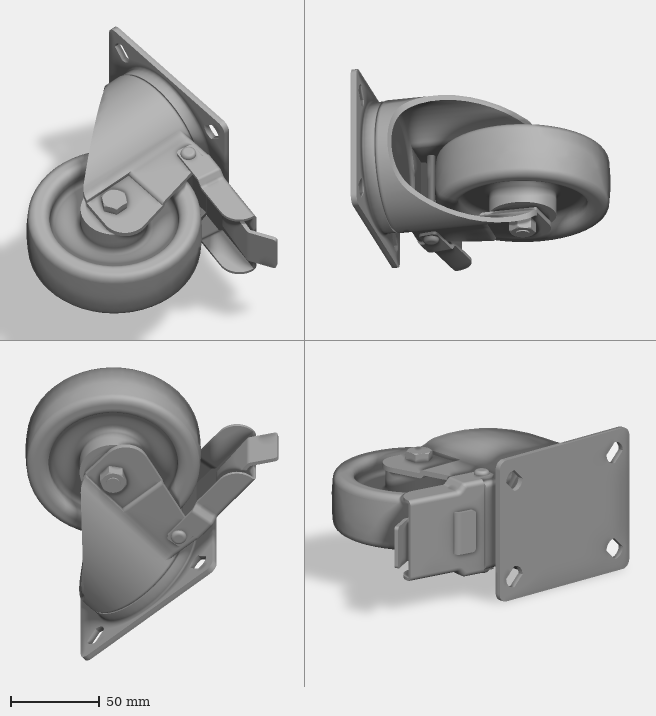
import cadquery as cq
import math


plate_length = 100.0
plate_width = 84.0
plate_thickness = 3.5
plate_corner_radius = 5.0
slot_spacing_x = 77.5
slot_spacing_z = 57.2
slot_diameter = 12.6
slot_width = 8.8
slot_angle = 45
neck_radius = 37.5
neck_flare = 1.1
neck_bottom = -10.6

fork_radius = 38.0
fork_wall = 3.0
dome_edge_radius = 2.3
hood_top = -13.2
hood_edge_radius = 3.0
upper_cheek_face = 26.0
cheek_step = 2.1
cheek_bend_outside = 8.2
cheek_bend_inside = 5.5
lower_cheek_face = upper_cheek_face - cheek_step
lower_cheek_inside = lower_cheek_face - fork_wall
recess_floor_top = -57.5
recess_front = 29.5
boss_top = -55.0
boss_front = 29.0
boss_edge_radius = 2.8
shell_back_y = -18.5
slope_start = (-25.5, -28.1)
heel = (24.9, -88.3)
heel_radius = 10.8
heel_slope = 0.13
toe_lean = 0.24
toe_top_x = 48.2
toe_radius = 13.0
fork_depth = 114.5
fork_reach = 98.1

axle_x = 40.4
axle_y = -77.8
wheel_radius = 49.9
tread_edge_radius = 49.2
tread_edge_z = 12.5
wheel_half_width = 16.5
rim_outer_radius = 44.5
rim_inner_radius = 41.9
rim_round = 5.0
rim_bore_radius = rim_inner_radius - rim_round
web_face_z = 5.0
web_fillet = 3.1
hub_radius = 19.1
hub_half_length = 20.1

bolt_radius = 4.0
hex_across_flats = 13.4
hex_chamfer_height = 0.7
bolt_head_height = 5.0
bolt_head_turn = 90
nut_height = 6.9
nut_turn = 7.0
bolt_end_protrusion = 0.8
washer_radius = 14.2
washer_tip_radius = 6.5

pin_x = 42.2
pin_y = -23.7
pedal_tilt = -9.0
pedal_sheet = 1.8
pedal_top = 10.8
pedal_bottom = -5.2
pedal_end = 55.8
pedal_end_radius = 12.5
nose_back = -5.4
nose_top = 5.9
nose_radius = 2.3
pedal_web_start = 5.5
pedal_wide_face = 28.0
pedal_narrow_face = 24.0
pedal_jog_start = 17.0
pedal_jog_end = 23.7
pedal_jog_bend = 1.5
pedal_jog_radius = 2.5
pedal_edge_radius = 3.0

pin_radius = 2.5
pin_head_radius = 4.4
pin_head_height = 2.5
pin_head_round = 2.0

lever_sheet = 2.3
lever_half_width = 12.5
lever_start = 13.2
lever_top = 14.0
lever_drop_face = 26.3
lever_run_start = 8.7
lever_run_end = 7.0
lever_kink = 55.3
lever_tail_angle = 37.5
lever_tail_length = 16.5
lever_bend_radius = 3.1
lever_corner_radius = 2.0


def disc(radius, z_from, z_to, x=axle_x, y=axle_y):
    """Cylinder along Z between two Z levels."""
    return cq.Workplane("XY", origin=(x, y, z_from)).circle(radius).extrude(z_to - z_from)


def plate_slot(side_x, side_z):
    """Diagonal corner slot: a round hole narrowed by two parallel flats."""
    round_hole = cq.Workplane("XZ").circle(slot_diameter / 2).extrude(plate_thickness)
    flats = (
        cq.Workplane("XZ")
        .rect(slot_diameter, slot_width)
        .extrude(plate_thickness)
        .rotate((0, 0, 0), (0, 1, 0), -slot_angle * side_x * side_z)
    )
    slot = round_hole.intersect(flats)
    return slot.translate((side_x * slot_spacing_x / 2, 0, side_z * slot_spacing_z / 2))


def make_plate():
    plate = (
        cq.Workplane("XZ")
        .rect(plate_length, plate_width)
        .extrude(plate_thickness)
        .edges("|Y")
        .fillet(plate_corner_radius)
    )
    for side_x in (-1, 1):
        for side_z in (-1, 1):
            plate = plate.cut(plate_slot(side_x, side_z))
    neck = (
        cq.Workplane("XY")
        .moveTo(0, -plate_thickness)
        .lineTo(neck_radius + neck_flare, -plate_thickness)
        .radiusArc((neck_radius, -plate_thickness - neck_flare), -neck_flare)
        .lineTo(neck_radius, neck_bottom)
        .lineTo(0, neck_bottom)
        .close()
        .revolve(360, (0, 0, 0), (0, 1, 0))
    )
    return plate.union(neck)


def fork_section(radius, cheek_z, top, bend_radius):
    """Round shell that bends back into two parallel cheeks, extruded downwards as a solid block."""
    bend_center_z = cheek_z + bend_radius
    bend_center_x = math.sqrt((radius + bend_radius) ** 2 - bend_center_z**2)
    shell_share = radius / (radius + bend_radius)
    tangent_x = bend_center_x * shell_share
    tangent_z = bend_center_z * shell_share
    return (
        cq.Workplane("XZ", origin=(0, top, 0))
        .moveTo(tangent_x, tangent_z)
        .threePointArc((-radius, 0), (tangent_x, -tangent_z))
        .radiusArc((bend_center_x, -cheek_z), bend_radius)
        .lineTo(fork_reach, -cheek_z)
        .lineTo(fork_reach, cheek_z)
        .lineTo(bend_center_x, cheek_z)
        .radiusArc((tangent_x, tangent_z), bend_radius)
        .close()
        .extrude(fork_depth)
    )


def fork_side_outline():
    """Side shape of the fork, extruded across its whole width."""
    bottom_x = (toe_top_x + toe_lean * (hood_top - heel[1] - heel_slope * heel[0])) / (1 - toe_lean * heel_slope)
    bottom_y = heel[1] - heel_slope * (bottom_x - heel[0])
    outline = (
        cq.Workplane("XY", origin=(0, 0, -plate_width / 2))
        .moveTo(*heel)
        .lineTo(*slope_start)
        .tangentArcPoint((-fork_radius, shell_back_y), relative=False)
        .lineTo(-fork_radius - 1.6, shell_back_y)
        .lineTo(-fork_radius - 1.6, 0)
        .lineTo(toe_top_x + toe_lean * hood_top, 0)
        .lineTo(bottom_x, bottom_y)
        .close()
        .extrude(plate_width)
    )
    outline = outline.edges(cq.selectors.NearestToPointSelector((bottom_x, bottom_y, 0))).fillet(toe_radius)
    return outline.edges(cq.selectors.NearestToPointSelector((*heel, 0))).fillet(heel_radius)


def cheek_boss():
    """Inward offset of the +Z cheek around the axle, with a rounded upper edge."""
    boss = (
        cq.Workplane("XY", origin=(boss_front, boss_top, lower_cheek_inside))
        .rect(fork_reach, -fork_depth, centered=False)
        .extrude(fork_wall)
    )
    return boss.faces("<Z").edges(">Y").fillet(boss_edge_radius)


def cheek_recess():
    """Matching recess in the outer face of the +Z cheek, with a rounded upper wall."""
    arc_reach = cheek_step * math.sqrt(0.5)
    recess_edge = recess_floor_top + cheek_step
    return (
        cq.Workplane("YZ", origin=(recess_front, 0, 0))
        .moveTo(-fork_depth, lower_cheek_face)
        .lineTo(recess_floor_top, lower_cheek_face)
        .threePointArc((recess_edge - arc_reach, lower_cheek_face + arc_reach), (recess_edge, upper_cheek_face))
        .lineTo(recess_edge, fork_radius)
        .lineTo(-fork_depth, fork_radius)
        .close()
        .extrude(fork_reach)
    )


def fork_dome(radius, top):
    """Round block below a level, with a rounded top edge."""
    block = cq.Workplane("XZ", origin=(0, top, 0)).circle(radius).extrude(fork_depth)
    return block.faces(">Y").edges().fillet(dome_edge_radius)


def make_fork():
    dome = fork_dome(fork_radius, neck_bottom)
    hood = fork_section(fork_radius, upper_cheek_face, hood_top, cheek_bend_outside)
    hood = hood.faces(">Y").edges().fillet(hood_edge_radius)
    dome_hollow = fork_dome(fork_radius - fork_wall, neck_bottom - fork_wall)
    hood_hollow = fork_section(
        fork_radius - fork_wall, upper_cheek_face - fork_wall, hood_top - fork_wall, cheek_bend_inside
    )
    fork = dome.union(hood).cut(dome_hollow).cut(hood_hollow)
    boss = cheek_boss()
    recess = cheek_recess()
    fork = fork.union(boss).union(boss.mirror("XY")).cut(recess).cut(recess.mirror("XY"))
    fork = fork.intersect(fork_side_outline())
    axle_hole = disc(bolt_radius, -fork_radius, fork_radius)
    pin_hole = disc(pin_radius, -fork_radius, fork_radius, pin_x, pin_y)
    return fork.cut(axle_hole).cut(pin_hole)


def make_wheel():
    """Revolved about local Y with the rim and hub faces dished on both sides, then turned onto the axle."""
    round_middle = math.sqrt(0.5)
    tread_round_r = rim_outer_radius + (tread_edge_radius - rim_outer_radius) * round_middle
    tread_round_z = tread_edge_z + (wheel_half_width - tread_edge_z) * round_middle
    blank = (
        cq.Workplane("XY")
        .moveTo(bolt_radius, -hub_half_length)
        .lineTo(rim_outer_radius, -hub_half_length)
        .lineTo(rim_outer_radius, -wheel_half_width)
        .threePointArc((tread_round_r, -tread_round_z), (tread_edge_radius, -tread_edge_z))
        .threePointArc((wheel_radius, 0), (tread_edge_radius, tread_edge_z))
        .threePointArc((tread_round_r, tread_round_z), (rim_outer_radius, wheel_half_width))
        .lineTo(rim_outer_radius, hub_half_length)
        .lineTo(bolt_radius, hub_half_length)
        .close()
        .revolve(360, (0, 0, 0), (0, 1, 0))
    )
    dish = (
        cq.Workplane("XY")
        .moveTo(hub_radius, hub_half_length)
        .lineTo(hub_radius, web_face_z + web_fillet)
        .radiusArc((hub_radius + web_fillet, web_face_z), -web_fillet)
        .lineTo(rim_bore_radius - web_fillet, web_face_z)
        .radiusArc((rim_bore_radius, web_face_z + web_fillet), -web_fillet)
        .lineTo(rim_bore_radius, wheel_half_width - rim_round)
        .radiusArc((rim_inner_radius, wheel_half_width), rim_round)
        .lineTo(rim_outer_radius, wheel_half_width)
        .lineTo(rim_outer_radius, hub_half_length)
        .close()
        .revolve(360, (0, 0, 0), (0, 1, 0))
    )
    wheel = blank.cut(dish).cut(dish.mirror("XZ"))
    return wheel.rotate((0, 0, 0), (1, 0, 0), 90).translate((axle_x, axle_y, 0))


def hex_block(height, turn):
    """Hexagon standing on Z = 0 with its outer corners chamfered; turn 0 puts corners on the X axis."""
    across_corners = hex_across_flats / math.cos(math.radians(30))
    block = cq.Workplane("XY").polygon(6, across_corners).extrude(height)
    envelope = (
        cq.Workplane("XZ")
        .lineTo(across_corners / 2, 0)
        .lineTo(across_corners / 2, height - hex_chamfer_height)
        .lineTo(hex_across_flats / 2, height)
        .lineTo(0, height)
        .close()
        .revolve(360, (0, 0, 0), (0, 1, 0))
    )
    return block.intersect(envelope).rotate((0, 0, 0), (0, 0, 1), turn)


def make_bolt():
    head = hex_block(bolt_head_height, bolt_head_turn).translate((axle_x, axle_y, lower_cheek_face))
    shank_end = -lower_cheek_face - nut_height - bolt_end_protrusion
    return head.union(disc(bolt_radius, shank_end, lower_cheek_face))


def make_nut():
    nut = hex_block(nut_height, nut_turn).rotate((0, 0, 0), (1, 0, 0), 180)
    nut = nut.translate((axle_x, axle_y, -lower_cheek_face))
    return nut.cut(disc(bolt_radius, -fork_radius, 0))


def make_washer(side):
    """Conical washer between one end of the hub and the cheek next to it."""
    washer = (
        cq.Workplane("XY")
        .moveTo(bolt_radius, hub_half_length)
        .lineTo(washer_radius, hub_half_length)
        .lineTo(washer_tip_radius, lower_cheek_inside)
        .lineTo(bolt_radius, lower_cheek_inside)
        .close()
        .revolve(360, (0, 0, 0), (0, 1, 0))
        .rotate((0, 0, 0), (1, 0, 0), 90 * side)
    )
    return washer.translate((axle_x, axle_y, 0))


def pedal_channel(inset, bottom, top):
    """Solid block with the pedal's plan shape: wide at the pin, jogged to narrow towards the end."""
    wide = pedal_wide_face - inset
    narrow = pedal_narrow_face - inset
    right_side = [
        (nose_back, wide),
        (pedal_jog_start + pedal_jog_bend, wide),
        (pedal_jog_end - pedal_jog_bend, narrow),
        (pedal_end, narrow),
    ]
    left_side = [(u, -w) for u, w in reversed(right_side)]
    plan = cq.Plane(origin=(0, top, 0), xDir=(1, 0, 0), normal=(0, -1, 0))
    block = cq.Workplane(plan).polyline(right_side + left_side).close().extrude(top - bottom)
    jog_corners = cq.selectors.BoxSelector(
        (pedal_jog_start, bottom - 1.6, -wide - 1.6), (pedal_jog_end, top + 1.6, wide + 1.6)
    )
    return block.edges("|Y").edges(jog_corners).fillet(pedal_jog_radius)


def place_on_pedal(body):
    """Move a body from the pedal's own frame (pin at the origin) to its place on the caster."""
    return body.rotate((0, 0, 0), (0, 0, 1), pedal_tilt).translate((pin_x, pin_y, 0))


def make_pedal(lever):
    """Downward-open channel trimmed to its side shape, with a slot for the lever in its web."""
    outer = pedal_channel(0, pedal_bottom, pedal_top)
    outer = outer.faces(">Y").edges("not (<X or >X)").fillet(pedal_edge_radius)
    inner = pedal_channel(pedal_sheet, pedal_bottom, pedal_top - pedal_sheet)
    span = 2 * pedal_wide_face
    side = (
        cq.Workplane("XY", origin=(0, 0, -span / 2))
        .moveTo(nose_back, pedal_bottom)
        .lineTo(pedal_end - pedal_end_radius, pedal_bottom)
        .radiusArc((pedal_end, pedal_bottom + pedal_end_radius), -pedal_end_radius)
        .lineTo(pedal_end, pedal_top)
        .lineTo(pedal_web_start, pedal_top)
        .lineTo(pedal_web_start, nose_top)
        .lineTo(nose_back, nose_top)
        .close()
        .extrude(span)
    )
    side = side.edges("|Z").edges("<X").fillet(nose_radius)
    pedal = place_on_pedal(outer.cut(inner).intersect(side))
    pin_hole = disc(pin_radius, -span / 2, span / 2, pin_x, pin_y)
    return pedal.cut(lever).cut(pin_hole)


def make_lever():
    """Bent strip: a pad above the pedal web, a drop through its slot, a run below it and a raised tail."""
    tail = math.radians(lever_tail_angle)
    tail_x = lever_tail_length * math.cos(tail)
    tail_y = lever_tail_length * math.sin(tail)
    start_bottom = lever_run_start - lever_sheet
    end_bottom = lever_run_end - lever_sheet
    kink_shift = lever_sheet * math.tan(tail / 2)
    lever = (
        cq.Workplane("XY", origin=(0, 0, -lever_half_width))
        .moveTo(lever_start, lever_top)
        .lineTo(lever_drop_face, lever_top)
        .lineTo(lever_drop_face, lever_run_start)
        .lineTo(lever_kink, lever_run_end)
        .lineTo(lever_kink + tail_x, lever_run_end + tail_y)
        .line(lever_sheet * math.sin(tail), -lever_sheet * math.cos(tail))
        .lineTo(lever_kink + kink_shift, end_bottom)
        .lineTo(lever_drop_face - lever_sheet, start_bottom)
        .lineTo(lever_drop_face - lever_sheet, lever_top - lever_sheet)
        .lineTo(lever_start, lever_top - lever_sheet)
        .close()
        .extrude(2 * lever_half_width)
    )
    outer_corners = [
        (lever_drop_face, lever_top),
        (lever_drop_face - lever_sheet, start_bottom),
        (lever_kink + kink_shift, end_bottom),
    ]
    inner_corners = [
        (lever_drop_face - lever_sheet, lever_top - lever_sheet),
        (lever_drop_face, lever_run_start),
        (lever_kink, lever_run_end),
    ]
    for corners, radius in ((outer_corners, lever_bend_radius), (inner_corners, lever_bend_radius - lever_sheet)):
        for corner in corners:
            lever = lever.edges(cq.selectors.NearestToPointSelector((*corner, 0))).fillet(radius)
    tail_end = (lever_kink + tail_x, lever_run_end + tail_y)
    for end_corner in ((lever_start, lever_top - lever_sheet / 2), tail_end):
        for side in (-1, 1):
            corner = cq.selectors.NearestToPointSelector((*end_corner, side * lever_half_width))
            lever = lever.edges("not |Z").edges(corner).fillet(lever_corner_radius)
    return place_on_pedal(lever)


def make_pin():
    """Pin through the pedal and both cheeks, with a domed head at each end."""
    half_length = pedal_wide_face + pin_head_height
    pin = disc(pin_radius, -pedal_wide_face, pedal_wide_face, pin_x, pin_y)
    for side in (-1, 1):
        head = disc(pin_head_radius, side * pedal_wide_face, side * half_length, pin_x, pin_y)
        outer_face = ">Z" if side > 0 else "<Z"
        pin = pin.union(head.faces(outer_face).edges().fillet(pin_head_round))
    return pin


plate = make_plate()
fork = make_fork()
wheel = make_wheel()
bolt = make_bolt()
nut = make_nut()
washers = [make_washer(side) for side in (-1, 1)]
lever = make_lever()
pedal = make_pedal(lever)
pin = make_pin()

result = cq.Compound.makeCompound(
    [
        plate.val(),
        fork.val(),
        wheel.val(),
        bolt.val(),
        nut.val(),
        *[washer.val() for washer in washers],
        pedal.val(),
        lever.val(),
        pin.val(),
    ]
)